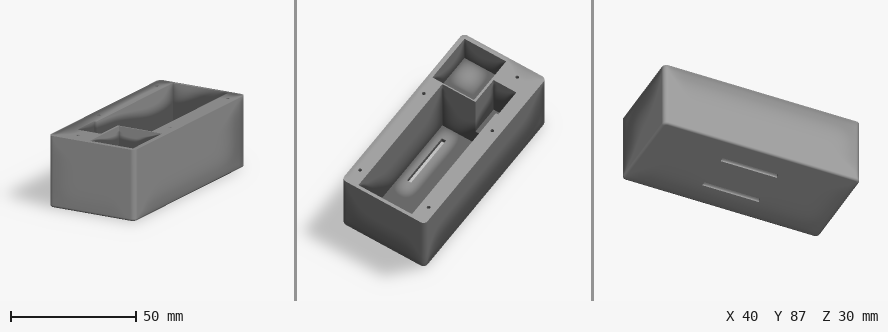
import cadquery as cq

width = 40.0
length = 87.0
height = 30.0
corner_radius = 2.0
bottom_radius = 1.0

main_width = 25.75
main_length = 60.1
main_end_wall = 1.4
main_floor = 2.0
main_top_y = length / 2 - main_end_wall
main_bottom_y = main_top_y - main_length

corner_width = 20.0
corner_length = 23.0
corner_depth = 13.0
corner_wall = 2.0
corner_right_x = width / 2 - corner_wall
corner_left_x = corner_right_x - corner_width
corner_bottom_y = -length / 2 + corner_wall

divider = 1.0
side_width = 11.0
side_length = 13.05
side_depth = 20.0
side_right_x = corner_left_x - divider
side_left_x = side_right_x - side_width

slot_width = 2.0
slot_length = 25.0
slot_spacing = 17.0
slot_center_y = -0.1

screw_diameter = 1.5
screw_depth = 10.0
screw_spacing_x = 33.0
screw_spacing_y = 45.6
screw_center_y = 12.8
single_screw = (-10.0, -37.5)


def pocket(left_x, bottom_y, size_x, size_y, depth):
    """Rectangular cutter reaching down from the top face."""
    return (
        cq.Workplane("XY", origin=(left_x, bottom_y, height - depth))
        .rect(size_x, size_y, centered=False)
        .extrude(depth)
    )


body = (
    cq.Workplane("XY")
    .box(width, length, height, centered=(True, True, False))
    .edges("|Z").fillet(corner_radius)
    .faces("<Z").edges().fillet(bottom_radius)
)

body = body.cut(
    pocket(-main_width / 2, main_bottom_y, main_width, main_length, height - main_floor)
)
body = body.cut(
    pocket(corner_left_x, corner_bottom_y, corner_width, corner_length, corner_depth)
)
body = body.cut(
    pocket(side_left_x, main_bottom_y - side_length, side_width, side_length, side_depth)
)

slots = (
    cq.Workplane("XY")
    .pushPoints([(side * slot_spacing / 2, slot_center_y) for side in (-1, 1)])
    .rect(slot_width, slot_length)
    .extrude(main_floor)
)
body = body.cut(slots)

screw_points = [
    (side * screw_spacing_x / 2, screw_center_y + end * screw_spacing_y / 2)
    for side in (-1, 1)
    for end in (-1, 1)
]
screw_points.append(single_screw)
screws = (
    cq.Workplane("XY", origin=(0, 0, height - screw_depth))
    .pushPoints(screw_points)
    .circle(screw_diameter / 2)
    .extrude(screw_depth)
)
result = body.cut(screws)